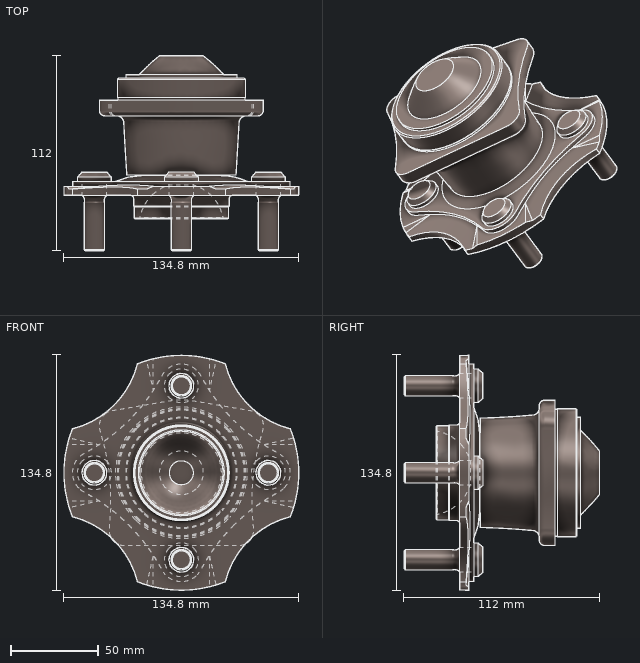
import cadquery as cq
import math

ARM_ANGLES = (0, 90, 180, 270)
SCALLOP_ANGLES = (45, 135, 225, 315)

plate_radius = 67.4
plate_rim_thickness = 3.6
blank_margin = 5.4
plate_waist_radius = 41.8
plate_waist_thickness = 6.1
scallop_radius = 51.1
scallop_center_distance = 105.8

pad_height = 5.3
pad_top_half_width = 16.2
pad_foot_half_width = 28.5
pad_inner_distance = 40.5
pad_setback = 2.7

stud_circle_radius = 49.9
lobe_radius = 12.5
backing_height = 8.1
backing_waist_radius = 42.5

dome_radius = 37.8
dome_mid_radius = 30.3
dome_mid_height = 10.7
neck_radius = 22.9
neck_height = 11.5

pilot_length = 13.5
pilot_radius = 27.5
pilot_fillet = 1.8
pilot_step_start = 6.0
pilot_step_end = 6.5
pilot_end_radius = 27.1
pilot_chamfer = 0.5
bowl_rim_radius = 23.9
bowl_rim_chamfer = 0.8
bowl_floor_radius = 6.9
bowl_depth = 19.5

sleeve_front = 11.7
sleeve_front_radius = 31.4
sleeve_back_radius = 33.2
sleeve_fillet = 3.9

flange_front = 45.6
flange_back = 54.7
flange_edge_fillet = 3.2
flange_top = 41.8
flange_bottom = -41.8
crown_radius = 40.5
corner_radius = 8.8
upper_corner_x = 38.3
upper_corner_z = 27.0
lower_corner_x = 32.6
side_arc_radius = 134.8

relief_radius = 36.5
relief_end = 56.1
spigot_radius = 36.8
spigot_end = 67.4
spigot_chamfer = 0.8
lip_radius = 32.0
lip_end = 69.3
cap_base_radius = 24.4
cap_mid_radius = 19.0
cap_mid = 74.7
cap_end_radius = 12.5
cap_end = 80.2

stud_tip = -31.8
stud_radius = 6.0
stud_tip_chamfer = 0.8
thread_start = -4.3
collar_radius = 7.0
undercut_radius = 5.8
undercut_y = -2.2
head_radius = 9.7
head_chamfer_start = 10.5
head_end = 13.3
head_end_radius = 7.3


def polar(radius, degrees):
    angle = math.radians(degrees)
    return radius * math.cos(angle), radius * math.sin(angle)


def spin(profile):
    """Revolve a closed (radius, y) profile about the hub axis."""
    return profile.close().revolve(360, (0, 0), (0, 1))


def face_plane(y):
    """Workplane facing -Y at height y, with local axes X and Z."""
    return cq.Workplane("XZ", origin=(0, y, 0))


def turn(body, degrees):
    return body.rotate((0, 0, 0), (0, 1, 0), degrees)


def make_plate():
    """Round plate with a coned back, four raised pads and four scallops in its rim."""
    slope = (plate_waist_thickness - plate_rim_thickness) / (plate_radius - plate_waist_radius)
    blank_radius = plate_radius + blank_margin
    plate = spin(
        cq.Workplane("XY")
        .moveTo(0, 0)
        .lineTo(blank_radius, 0)
        .lineTo(blank_radius, plate_rim_thickness - slope * blank_margin)
        .lineTo(plate_waist_radius, plate_waist_thickness)
        .lineTo(0, plate_waist_thickness)
    )
    pad = (
        cq.Workplane("XY", origin=(0, 0, pad_inner_distance))
        .moveTo(-pad_foot_half_width, 0)
        .lineTo(-pad_top_half_width, pad_height)
        .lineTo(pad_top_half_width, pad_height)
        .lineTo(pad_foot_half_width, 0)
        .close()
        .extrude(blank_radius - pad_setback - pad_inner_distance)
    )
    for angle in ARM_ANGLES:
        plate = plate.union(turn(pad, angle))
    scallops = (
        face_plane(0)
        .pushPoints([polar(scallop_center_distance, angle) for angle in SCALLOP_ANGLES])
        .circle(scallop_radius)
        .extrude(-backing_height)
    )
    rim = face_plane(0).circle(plate_radius).extrude(-backing_height)
    return plate.intersect(rim.cut(scallops))


def make_backing():
    """Four round lobes joined by shallow concave arcs tangent to them."""
    inset = backing_waist_radius - lobe_radius
    diagonal_reach = stud_circle_radius * math.sqrt(2)
    arc_center = (stud_circle_radius**2 - inset**2) / (diagonal_reach - 2 * inset)
    arc_center_x, arc_center_z = polar(arc_center, 45)
    tangent_angle = math.atan2(arc_center_z, arc_center_x - stud_circle_radius)
    tangent_x = stud_circle_radius + lobe_radius * math.cos(tangent_angle)
    tangent_z = lobe_radius * math.sin(tangent_angle)
    tangent_distance = math.hypot(tangent_x, tangent_z)
    half_lobe = math.degrees(math.atan2(tangent_z, tangent_x))

    outline = face_plane(0).moveTo(*polar(tangent_distance, -half_lobe))
    for angle in ARM_ANGLES:
        outline = outline.threePointArc(
            polar(stud_circle_radius + lobe_radius, angle),
            polar(tangent_distance, angle + half_lobe),
        ).threePointArc(
            polar(backing_waist_radius, angle + 45),
            polar(tangent_distance, angle + 90 - half_lobe),
        )
    return outline.close().extrude(-backing_height)


def make_hub_core():
    """Round parts of the hub, from the pilot through the dome, neck and sleeve to the end cap."""
    fillet_mid = pilot_fillet * (1 - math.sqrt(0.5))
    sleeve_mid = sleeve_fillet * (1 - math.sqrt(0.5))
    return spin(
        cq.Workplane("XY")
        .moveTo(0, -pilot_length)
        .lineTo(pilot_end_radius - pilot_chamfer, -pilot_length)
        .lineTo(pilot_end_radius, -pilot_length + pilot_chamfer)
        .lineTo(pilot_end_radius, -pilot_step_end)
        .lineTo(pilot_radius, -pilot_step_start)
        .lineTo(pilot_radius, -pilot_fillet)
        .threePointArc((pilot_radius + fillet_mid, -fillet_mid), (pilot_radius + pilot_fillet, 0))
        .lineTo(dome_radius, 0)
        .lineTo(dome_radius, backing_height)
        .threePointArc((dome_mid_radius, dome_mid_height), (neck_radius, neck_height))
        .lineTo(neck_radius, sleeve_front)
        .lineTo(sleeve_front_radius, sleeve_front)
        .lineTo(sleeve_back_radius, flange_front - sleeve_fillet)
        .threePointArc(
            (sleeve_back_radius + sleeve_mid, flange_front - sleeve_mid),
            (sleeve_back_radius + sleeve_fillet, flange_front),
        )
        .lineTo(relief_radius, flange_front)
        .lineTo(relief_radius, relief_end)
        .lineTo(spigot_radius, relief_end)
        .lineTo(spigot_radius, spigot_end - spigot_chamfer)
        .lineTo(spigot_radius - spigot_chamfer, spigot_end)
        .lineTo(lip_radius, spigot_end)
        .lineTo(lip_radius, lip_end)
        .lineTo(cap_base_radius, lip_end)
        .threePointArc((cap_mid_radius, cap_mid), (cap_end_radius, cap_end))
        .lineTo(0, cap_end)
    )


def make_bowl():
    """Spherical bowl with a flat floor and a chamfered rim."""
    rim_y = -pilot_length + bowl_rim_chamfer
    floor_y = -pilot_length + bowl_depth
    center_y = (floor_y**2 + bowl_floor_radius**2 - rim_y**2 - bowl_rim_radius**2) / (2 * (floor_y - rim_y))
    sphere_radius = math.hypot(bowl_rim_radius, rim_y - center_y)
    mid_radius, mid_rise = polar(sphere_radius, 45)
    return spin(
        cq.Workplane("XY")
        .moveTo(0, -pilot_length)
        .lineTo(bowl_rim_radius + bowl_rim_chamfer, -pilot_length)
        .lineTo(bowl_rim_radius, rim_y)
        .threePointArc((mid_radius, center_y + mid_rise), (bowl_floor_radius, floor_y))
        .lineTo(0, floor_y)
    )


def make_flange():
    """Crowned top, rounded corners, concave sides and a flat bottom."""
    lower_corner_z = flange_bottom + corner_radius
    crown_center_z = flange_top - crown_radius

    rise = upper_corner_z - crown_center_z
    gap = math.hypot(upper_corner_x, rise)
    shoulder = math.atan2(rise, upper_corner_x) + math.acos((crown_radius - corner_radius) / gap)
    shoulder_x = math.cos(shoulder)
    shoulder_z = math.sin(shoulder)
    crown_end = (crown_radius * shoulder_x, crown_center_z + crown_radius * shoulder_z)
    corner_top = (upper_corner_x + corner_radius * shoulder_x, upper_corner_z + corner_radius * shoulder_z)

    across_x = upper_corner_x - lower_corner_x
    across_z = upper_corner_z - lower_corner_z
    spacing = math.hypot(across_x, across_z)
    reach = side_arc_radius + corner_radius
    offset = math.sqrt(reach**2 - (spacing / 2) ** 2)
    side_x = (upper_corner_x + lower_corner_x) / 2 + offset * across_z / spacing
    side_z = (upper_corner_z + lower_corner_z) / 2 - offset * across_x / spacing

    upper_turn = math.atan2(side_z - upper_corner_z, side_x - upper_corner_x)
    lower_turn = math.atan2(side_z - lower_corner_z, side_x - lower_corner_x)

    def on_corner(x, z, angle):
        return x + corner_radius * math.cos(angle), z + corner_radius * math.sin(angle)

    upper_mid = on_corner(upper_corner_x, upper_corner_z, (shoulder + upper_turn) / 2)
    side_top = on_corner(upper_corner_x, upper_corner_z, upper_turn)
    side_mid = (side_x - side_arc_radius, side_z)
    side_foot = on_corner(lower_corner_x, lower_corner_z, lower_turn)
    lower_mid = on_corner(lower_corner_x, lower_corner_z, (lower_turn - math.pi / 2) / 2)
    bottom_end = (lower_corner_x, flange_bottom)

    def mirrored(point):
        return -point[0], point[1]

    flange = (
        face_plane(flange_front)
        .moveTo(*mirrored(crown_end))
        .threePointArc((0, flange_top), crown_end)
        .lineTo(*corner_top)
        .threePointArc(upper_mid, side_top)
        .threePointArc(side_mid, side_foot)
        .threePointArc(lower_mid, bottom_end)
        .lineTo(*mirrored(bottom_end))
        .threePointArc(mirrored(lower_mid), mirrored(side_foot))
        .threePointArc(mirrored(side_mid), mirrored(side_top))
        .threePointArc(mirrored(upper_mid), mirrored(corner_top))
        .close()
        .extrude(flange_front - flange_back)
    )
    return flange.faces("<Y").edges().fillet(flange_edge_fillet)


def make_stud():
    """Stud on the +X arm, its collar filling the hole through the plate and necking in to the thread."""
    stud = spin(
        cq.Workplane("XY")
        .moveTo(0, stud_tip)
        .lineTo(stud_radius - stud_tip_chamfer, stud_tip)
        .lineTo(stud_radius, stud_tip + stud_tip_chamfer)
        .lineTo(stud_radius, thread_start)
        .threePointArc((undercut_radius, undercut_y), (collar_radius, 0))
        .lineTo(collar_radius, backing_height)
        .lineTo(head_radius, backing_height)
        .lineTo(head_radius, head_chamfer_start)
        .lineTo(head_end_radius, head_end)
        .lineTo(0, head_end)
    )
    return stud.translate((stud_circle_radius, 0, 0))


def make_hub():
    hub = make_plate().union(make_backing()).union(make_hub_core()).union(make_flange())
    stud_holes = (
        face_plane(0)
        .pushPoints([polar(stud_circle_radius, angle) for angle in ARM_ANGLES])
        .circle(collar_radius)
        .extrude(-backing_height)
    )
    return hub.cut(make_bowl()).cut(stud_holes)


hub = make_hub()
studs = [turn(make_stud(), angle) for angle in ARM_ANGLES]

result = cq.Compound.makeCompound([hub.val(), *[stud.val() for stud in studs]])